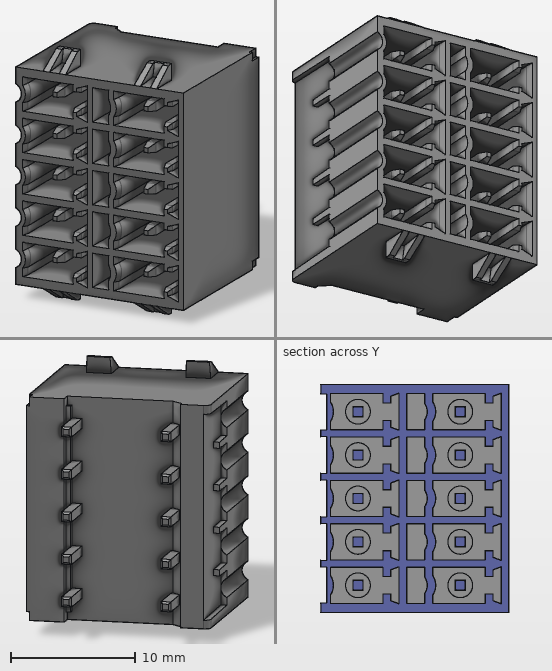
import cadquery as cq
import math


ROWS = 5
ROW_PITCH = 3.5
COLUMN_PITCH = 8.25
FIRST_PIN_X = 3.02
row_heights = [(row - (ROWS - 1) / 2) * ROW_PITCH for row in range(ROWS)]
column_offsets = [0, COLUMN_PITCH]

WIDTH = 15.2
DEPTH = 13.3
HEIGHT = 18.4
END_STRIP = 0.72
MATING_STEP = 0.26
BACK_CORNER_RADIUS = 0.5
top = HEIGHT / 2
strip_z = top - END_STRIP

NOTCH_FLOOR_Y = 12.2
NOTCH_LEFT_X = 2.4
NOTCH_LIP_Y = 12.95
NOTCH_RAMP_END_X = 3.29
NOTCH_RIGHT_X = 12.06
LEDGE_WIDTH = 0.39
LEDGE_HEIGHT = 0.5

PANEL_FRONT_Y = 7.33
PANEL_DRAFT = 0.08
TONGUE_END_Y = 9.83
TONGUE_ROOT = 0.6
TONGUE_TIP = 0.5
GROOVE_RADIUS = 0.86
GROOVE_DEPTH = 0.5
PANEL_STEP = GROOVE_DEPTH
groove_center_x = GROOVE_DEPTH - GROOVE_RADIUS

CHAMBER_DEPTH = 9.2
CHAMBER_HALF_HEIGHT = 1.45
CHAMBER_LEFT = 0.81
CHAMBER_RIGHT = 6.31
BULGE_RADIUS = 1.41
RIB_LEFT = 5.02
RIB_RIGHT = 5.67
RIB_GAP_HALF = 0.7
UNDERCUT_HALF_HEIGHT = 1.24
CORNER_HALF_HEIGHT = 1.48
LEAD_IN = 0.18
LEAD_IN_DEPTH = 0.6
PIN_RELIEF_RADIUS = 1.0
PIN_RELIEF_DEPTH = 0.2

POCKET_LEFT = 6.96
POCKET_RIGHT = 8.4
POCKET_BULGE = 0.2
POCKET_BULGE_HALF_HEIGHT = 0.65

PIN_SIZE = 0.82
PIN_FRONT_Y = 1.05
PIN_BACK_Y = 15.9
FRONT_TIP_SIZE = 0.4
FRONT_TAPER_LENGTH = 1.0
BACK_TIP_CHAMFER = 0.17

HOOK_CENTER_X = 3.5
HOOK_HEIGHT = 1.35
HOOK_BASE_WIDTH = 2.06
HOOK_TOP_WIDTH = 1.92
HOOK_CREST_FRONT_Y = 2.46
HOOK_SHOULDER_Y = 2.2
HOOK_SHOULDER_DROP = 0.04
HOOK_CREST_BACK_Y = 2.78
HOOK_BASE_BACK_Y = 2.65
HOOK_SLOT_WIDTH = 0.88
HOOK_SLOT_BACK_BASE_Y = 2.2
HOOK_SLOT_RISE = 0.18


def box(x0, x1, y0, y1, z0, z1):
    return cq.Workplane("XY").box(x1 - x0, y1 - y0, z1 - z0, False).translate((x0, y0, z0))


def front_plane(y):
    """Plane parallel to the mating face with local axes X and Z; negative extrusions go inwards."""
    return cq.Workplane(cq.Plane(origin=(0, y, 0), xDir=(1, 0, 0), normal=(0, -1, 0)))


def make_housing():
    body = (
        cq.Workplane("XY", origin=(0, 0, -top))
        .lineTo(WIDTH, 0)
        .lineTo(WIDTH, DEPTH)
        .lineTo(NOTCH_RIGHT_X, DEPTH)
        .lineTo(NOTCH_RIGHT_X, NOTCH_FLOOR_Y)
        .lineTo(NOTCH_RAMP_END_X, NOTCH_FLOOR_Y)
        .lineTo(NOTCH_LEFT_X, NOTCH_LIP_Y)
        .lineTo(NOTCH_LEFT_X, DEPTH)
        .lineTo(0, DEPTH)
        .close()
        .extrude(HEIGHT)
    )
    ledge = box(
        NOTCH_RIGHT_X - LEDGE_WIDTH, NOTCH_RIGHT_X,
        NOTCH_FLOOR_Y, NOTCH_FLOOR_Y + LEDGE_HEIGHT, -strip_z, strip_z,
    )
    body = body.union(ledge).cut(make_corner_round()).cut(make_side_panel())
    for z0, z1 in [(-top, -strip_z), (strip_z, top)]:
        body = body.cut(box(WIDTH - MATING_STEP, WIDTH, NOTCH_FLOOR_Y, DEPTH, z0, z1))
    return body


def make_corner_round():
    """Material outside the rounded back corner of the left side."""
    r = BACK_CORNER_RADIUS
    corner = box(0, r, DEPTH - r, DEPTH, -top, top)
    rod = cq.Workplane("XY", origin=(r, DEPTH - r, -top)).circle(r).extrude(HEIGHT)
    return corner.cut(rod)


def make_side_panel():
    """Material removed from the left side, leaving the end strips and the tongues."""
    front_z = strip_z - PANEL_DRAFT
    panel = (
        cq.Workplane("YZ")
        .polyline([(PANEL_FRONT_Y, -front_z), (DEPTH, -strip_z), (DEPTH, strip_z), (PANEL_FRONT_Y, front_z)])
        .close()
        .extrude(PANEL_STEP)
    )
    for lower, upper in zip(row_heights, row_heights[1:]):
        middle = (lower + upper) / 2
        tongue = (
            cq.Workplane("YZ", origin=(0, 0, middle))
            .polyline([
                (PANEL_FRONT_Y, -TONGUE_ROOT / 2),
                (TONGUE_END_Y, -TONGUE_TIP / 2),
                (TONGUE_END_Y, TONGUE_TIP / 2),
                (PANEL_FRONT_Y, TONGUE_ROOT / 2),
            ])
            .close()
            .extrude(PANEL_STEP)
        )
        panel = panel.cut(tongue)
    return panel


def make_groove(z):
    return front_plane(0).center(groove_center_x, z).circle(GROOVE_RADIUS).extrude(-PANEL_FRONT_Y)


def draw_chamber(plane, x, z, growth):
    """Chamber outline; growth widens it all round except at its flat top and bottom."""
    left = CHAMBER_LEFT - growth
    right = CHAMBER_RIGHT + growth
    rib_left = RIB_LEFT + growth
    rib_right = RIB_RIGHT - growth
    gap = RIB_GAP_HALF + growth
    slope = (CORNER_HALF_HEIGHT - UNDERCUT_HALF_HEIGHT) / (CHAMBER_RIGHT - RIB_RIGHT)
    undercut = UNDERCUT_HALF_HEIGHT - slope * growth
    corner = CORNER_HALF_HEIGHT + slope * growth
    bulge = BULGE_RADIUS - growth
    bulge_half = math.sqrt(bulge**2 - (left - groove_center_x) ** 2)
    h = CHAMBER_HALF_HEIGHT
    return (
        plane.center(x, z)
        .moveTo(left, bulge_half)
        .lineTo(left, h)
        .lineTo(rib_left, h)
        .lineTo(rib_left, gap)
        .lineTo(rib_right, gap)
        .lineTo(rib_right, undercut)
        .lineTo(right, corner)
        .lineTo(right, -corner)
        .lineTo(rib_right, -undercut)
        .lineTo(rib_right, -gap)
        .lineTo(rib_left, -gap)
        .lineTo(rib_left, -h)
        .lineTo(left, -h)
        .lineTo(left, -bulge_half)
        .threePointArc((groove_center_x + bulge, 0), (left, bulge_half))
        .close()
    )


def make_chamber(x, z):
    """Chamber with a flared mouth and a shallow round relief at the foot of the pin."""
    chamber = draw_chamber(front_plane(0), x, z, 0).extrude(-CHAMBER_DEPTH)
    mouth = draw_chamber(front_plane(0), x, z, LEAD_IN).val()
    throat = draw_chamber(front_plane(LEAD_IN_DEPTH), x, z, 0).val()
    lead_in = cq.Solid.makeLoft([mouth, throat], True)
    relief = (
        front_plane(CHAMBER_DEPTH)
        .center(x + FIRST_PIN_X, z)
        .circle(PIN_RELIEF_RADIUS)
        .extrude(-PIN_RELIEF_DEPTH)
    )
    return chamber.union(lead_in).union(relief)


def make_pocket(z):
    h = CHAMBER_HALF_HEIGHT
    return (
        front_plane(0)
        .center(0, z)
        .moveTo(POCKET_LEFT, -h)
        .lineTo(POCKET_RIGHT, -h)
        .lineTo(POCKET_RIGHT, -POCKET_BULGE_HALF_HEIGHT)
        .threePointArc((POCKET_RIGHT + POCKET_BULGE, 0), (POCKET_RIGHT, POCKET_BULGE_HALF_HEIGHT))
        .lineTo(POCKET_RIGHT, h)
        .lineTo(POCKET_LEFT, h)
        .close()
        .extrude(-CHAMBER_DEPTH)
    )


def make_pin(x, z):
    half = PIN_SIZE / 2
    shank_front_y = PIN_FRONT_Y + FRONT_TAPER_LENGTH
    shank = box(x - half, x + half, shank_front_y, PIN_BACK_Y, z - half, z + half)
    tip = (
        front_plane(shank_front_y)
        .center(x, z)
        .rect(PIN_SIZE, PIN_SIZE)
        .workplane(offset=FRONT_TAPER_LENGTH)
        .rect(FRONT_TIP_SIZE, FRONT_TIP_SIZE)
        .loft()
    )
    return shank.faces(">Y").chamfer(BACK_TIP_CHAMFER).union(tip)


def make_hook(x):
    """Hook on the top face; its sides lean inwards towards the crest."""
    crest = top + HOOK_HEIGHT
    profile = (
        cq.Workplane("YZ", origin=(x - HOOK_BASE_WIDTH / 2, 0, 0))
        .polyline([
            (0, top),
            (HOOK_SHOULDER_Y, crest - HOOK_SHOULDER_DROP),
            (HOOK_CREST_FRONT_Y, crest),
            (HOOK_CREST_BACK_Y, crest),
            (HOOK_BASE_BACK_Y, top),
        ])
        .close()
        .extrude(HOOK_BASE_WIDTH)
    )
    sides = (
        front_plane(0)
        .polyline([
            (x - HOOK_BASE_WIDTH / 2, top),
            (x + HOOK_BASE_WIDTH / 2, top),
            (x + HOOK_TOP_WIDTH / 2, crest),
            (x - HOOK_TOP_WIDTH / 2, crest),
        ])
        .close()
        .extrude(-DEPTH)
    )
    slot = (
        cq.Workplane("YZ", origin=(x - HOOK_SLOT_WIDTH / 2, 0, 0))
        .polyline([
            (0, top),
            (HOOK_SLOT_BACK_BASE_Y, top + HOOK_SLOT_RISE),
            (HOOK_CREST_FRONT_Y, crest),
            (0, crest),
        ])
        .close()
        .extrude(HOOK_SLOT_WIDTH)
    )
    return profile.intersect(sides).cut(slot)


result = make_housing()
for row_z in row_heights:
    result = result.cut(make_groove(row_z)).cut(make_pocket(row_z))
    for column_x in column_offsets:
        result = result.cut(make_chamber(column_x, row_z))
        result = result.union(make_pin(column_x + FIRST_PIN_X, row_z))
for column_x in column_offsets:
    hook = make_hook(column_x + HOOK_CENTER_X)
    result = result.union(hook).union(hook.mirror("XY"))